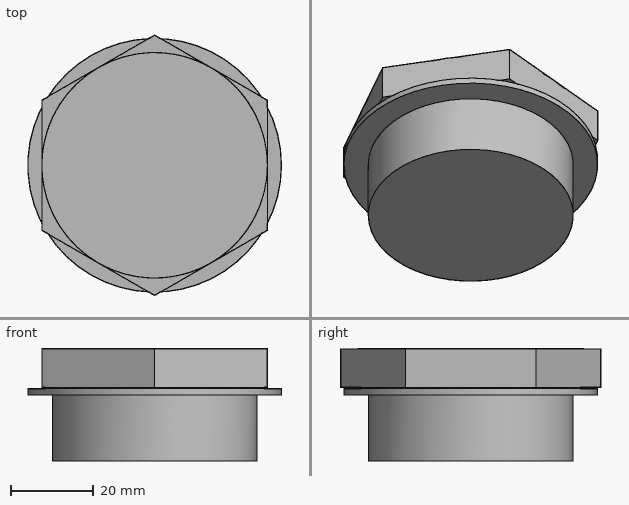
import cadquery as cq
import math

total_height = 27.5
across_flats = 55.0
shank_diameter = 50.0
shank_height = 16.1
flange_diameter = 61.9
flange_thickness = 1.6
collar_diameter = 53.5
collar_height = 0.3
pad_diameter = across_flats
pad_height = 0.1

HEX_SIDES = 6
half_side_angle = 180 / HEX_SIDES
across_corners = across_flats / math.cos(math.radians(half_side_angle))

flange_top = shank_height + flange_thickness
head_base = flange_top + collar_height
head_top = total_height - pad_height
head_height = head_top - head_base


def disc(diameter, height, base):
    """Solid cylinder about Z standing on the given height."""
    return cq.Workplane("XY").workplane(offset=base).circle(diameter / 2).extrude(height)


def hex_head():
    """Hexagonal prism with two corners on the Y axis and two flats facing along X."""
    hexagon = cq.Workplane("XY").workplane(offset=head_base).polygon(HEX_SIDES, across_corners)
    prism = hexagon.extrude(head_height)
    return prism.rotate((0, 0, 0), (0, 0, 1), half_side_angle)


shank = disc(shank_diameter, shank_height, 0)
flange = disc(flange_diameter, flange_thickness, shank_height)
collar = disc(collar_diameter, collar_height, flange_top)
pad = disc(pad_diameter, pad_height, head_top)

result = shank.union(flange).union(collar).union(hex_head()).union(pad)